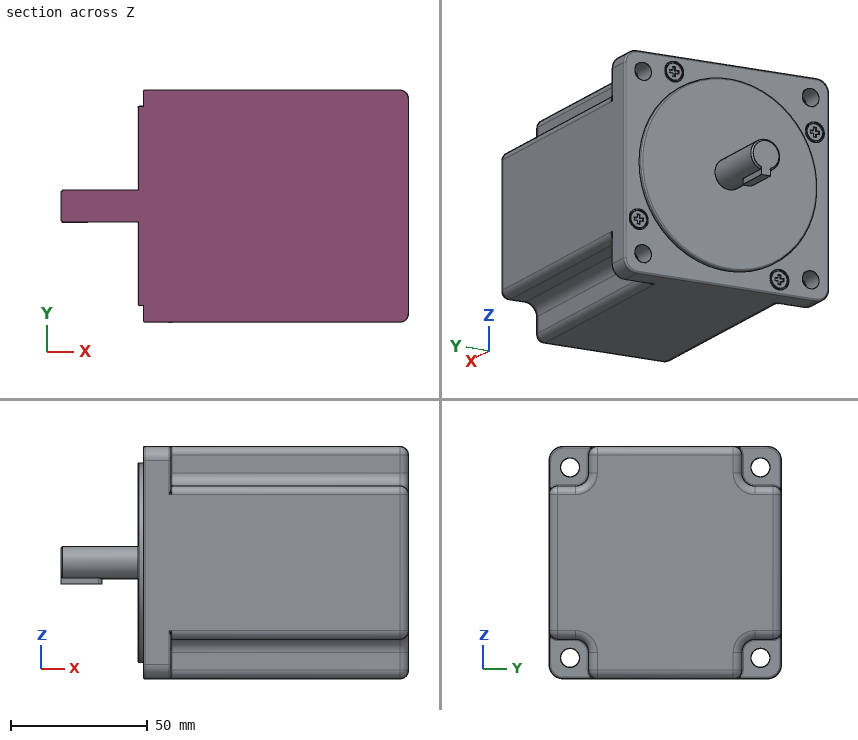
import cadquery as cq
import math

total_length = 127.0
frame_width = 85.0
half_width = frame_width / 2

flange_front = 30.1
flange_back = 40.1
flange_corner_radius = 5.2
flange_edge_radius = 0.6
mount_hole_diameter = 6.9
mount_hole_spacing = 69.6

notch_reach = 14.5
body_edge_radius = 3.2
notch_inner_radius = 4.8
notch_end_radius = 0.5
rear_edge_radius = 3.2
notch_overshoot = 5.1

outside = half_width + notch_overshoot
shoulder = half_width - body_edge_radius
wall = half_width - notch_reach
blend_start = wall - body_edge_radius
notch_limit = blend_start - notch_overshoot
hollow = wall + notch_inner_radius
edge_mid = body_edge_radius * math.sqrt(0.5)
hollow_mid = hollow - notch_inner_radius * math.sqrt(0.5)

pilot_front = 28.2
pilot_diameter = 73.0
pilot_edge_radius = 0.5

shaft_diameter = 12.0
shaft_tip_chamfer = 0.6
key_length = 15.0
key_width = 3.8
key_reach = 7.9
key_end_radius = 1.3

screw_long_offset = 36.6
screw_short_offset = 21.8
screw_seat_diameter = 7.7
screw_head_diameter = 6.6
screw_gap_depth = 0.5
cross_length = 3.7
cross_width = 1.1
cross_depth = 0.8


def plane_at(x):
    """Sketch plane facing +X, with local axes along Y and Z."""
    return cq.Workplane("YZ", origin=(x, 0, 0))


def make_notch_prism(start, length):
    """Prism with the outline removed from the +Y +Z corner of the body."""
    return (
        plane_at(start)
        .moveTo(outside, outside)
        .lineTo(notch_limit, outside)
        .lineTo(notch_limit, half_width)
        .lineTo(blend_start, half_width)
        .threePointArc((blend_start + edge_mid, shoulder + edge_mid), (wall, shoulder))
        .lineTo(wall, hollow)
        .threePointArc((hollow_mid, hollow_mid), (hollow, wall))
        .lineTo(shoulder, wall)
        .threePointArc((shoulder + edge_mid, blend_start + edge_mid), (half_width, blend_start))
        .lineTo(half_width, notch_limit)
        .lineTo(outside, notch_limit)
        .close()
        .extrude(length)
    )


def make_notch_cutter():
    """Notch prism whose rounded front edge leaves the blend to the flange."""
    cutter = make_notch_prism(flange_back, total_length)
    margin = notch_overshoot / 2
    profile_edges = cq.selectors.BoxSelector(
        (flange_back - margin, blend_start - margin, blend_start - margin),
        (flange_back + margin, half_width + margin, half_width + margin),
    )
    return cutter.faces("<X").edges(profile_edges).fillet(notch_end_radius)


def make_body():
    """Square body with a stepped notch along each corner and a rounded rear rim."""
    start = flange_back - flange_edge_radius
    body = plane_at(start).rect(frame_width, frame_width).extrude(total_length - start)
    rim_cutter = make_notch_prism(start, flange_edge_radius)
    for cutter in (make_notch_cutter(), rim_cutter):
        for quarter in range(4):
            body = body.cut(cutter.rotate((0, 0, 0), (1, 0, 0), 90 * quarter))
    return body.faces(">X").edges().fillet(rear_edge_radius)


def make_flange():
    thickness = flange_back - flange_front
    flange = plane_at(flange_front).rect(frame_width, frame_width).extrude(thickness)
    flange = flange.edges("|X").fillet(flange_corner_radius)
    return flange.faces("<X or >X").edges().fillet(flange_edge_radius)


def make_pilot():
    pilot = plane_at(pilot_front).circle(pilot_diameter / 2).extrude(flange_front - pilot_front)
    return pilot.faces("<X").edges().fillet(pilot_edge_radius)


def make_shaft():
    shaft = plane_at(0).circle(shaft_diameter / 2).extrude(pilot_front)
    shaft = shaft.faces("<X").chamfer(shaft_tip_chamfer)
    key = cq.Workplane("XY").box(key_length, key_width, key_reach, centered=(False, True, False))
    key = key.faces(">X").edges("|Z").fillet(key_end_radius).translate((0, 0, -key_reach))
    return shaft.union(key)


def make_screw_cutter():
    """Ring gap around one flush screw head together with its cross recess."""
    ring = plane_at(flange_front).circle(screw_seat_diameter / 2).circle(screw_head_diameter / 2)
    cutter = ring.extrude(screw_gap_depth)
    for width, height in ((cross_length, cross_width), (cross_width, cross_length)):
        cutter = cutter.union(plane_at(flange_front).rect(width, height).extrude(cross_depth))
    return cutter.translate((0, screw_short_offset, screw_long_offset))


def make_mount_holes():
    holes = plane_at(flange_front).rect(mount_hole_spacing, mount_hole_spacing, forConstruction=True)
    return holes.vertices().circle(mount_hole_diameter / 2).extrude(total_length)


result = make_body().union(make_flange()).union(make_pilot()).union(make_shaft())
result = result.cut(make_mount_holes())
for quarter in range(4):
    result = result.cut(make_screw_cutter().rotate((0, 0, 0), (1, 0, 0), 90 * quarter))